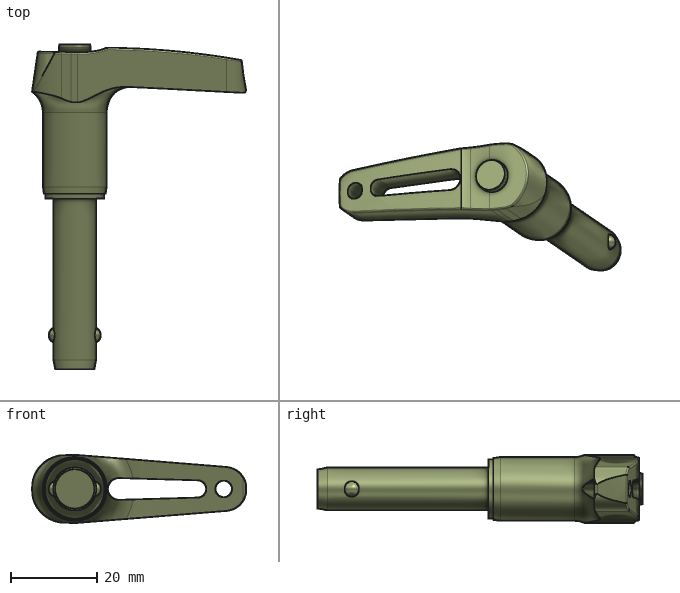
import cadquery as cq
import math


shank_radius = 5.0
overall_length = 75.4
shank_length = 39.65
tip_radius = 4.55
tip_length = 2.3
shoulder_radius = 6.9
shoulder_length = 1.15
barrel_radius = 7.43
barrel_end_radius = 7.2
barrel_taper_end = 2.75
flare_start = 19.97
flare_radius = 5.93
button_radius = 3.7
button_top = overall_length - shank_length
button_edge_height = 0.5
button_edge_inset = 0.15

ball_radius = 1.85
ball_reach = 6.05
ball_position = -31.7

boss_half_width = 7.91
boss_arc_center = -2.1
boss_arc_end = -3.14
boss_flat_start = -0.87
boss_flat_end = 0.53
grip_end_center = 34.7
grip_end_radius = 5.15
lever_end = 39.87

boss_tilt = 0.02
boss_dip = (1.0, 33.93)
dip_end = (5.5, 34.38)
hump_start = (7.5, 35.03)
grip_mid = (24.2, 34.13)
grip_arc_end = (42.0, 31.5)
grip_tip_top = (38.74, 32.12)
grip_tip_round = 0.7
underside_slope = 0.055
top_edge_round = 0.4

cone_center = 0.4
cone_top_radius = 9.01
cone_slope = 0.145

slot_start_center = 10.2
slot_start_radius = 2.5
slot_end_center = 28.5
slot_end_radius = 1.97
hole_center = 34.55
hole_radius = 1.9

flare_center = barrel_radius + flare_radius
flare_top = flare_start + flare_radius
cut_height = 2 * button_top


def revolve_about_pin(profile):
    """Turn a closed (radius, Y) profile fully about the pin axis."""
    return profile.close().revolve(360, (0, 0, 0), (0, 1, 0))


def along_pin(profile):
    """Extrude a closed XZ profile along +Y, past everything on the lever."""
    return profile.extrude(-cut_height)


def tangent_point(center, radius, angle):
    return (center + radius * math.cos(angle), radius * math.sin(angle))


def make_pin():
    """Shank with tapered tip, collar shoulder and barrel."""
    return revolve_about_pin(
        cq.Workplane("XY")
        .moveTo(0, -shank_length)
        .lineTo(tip_radius, -shank_length)
        .lineTo(shank_radius, tip_length - shank_length)
        .lineTo(shank_radius, 0)
        .lineTo(shoulder_radius, 0)
        .lineTo(shoulder_radius, shoulder_length)
        .lineTo(barrel_end_radius, shoulder_length)
        .lineTo(barrel_radius, barrel_taper_end)
        .lineTo(barrel_radius, flare_start)
        .lineTo(0, flare_start)
    )


def make_button():
    """Release button rising through the boss."""
    return (
        cq.Workplane("XZ", origin=(0, flare_top, 0))
        .circle(button_radius)
        .extrude(flare_top - button_top)
        .faces(">Y")
        .chamfer(button_edge_height, button_edge_inset)
    )


def make_balls():
    """Two locking balls standing out of the shank on opposite sides along X."""
    balls = cq.Workplane("XY")
    for side in (-1, 1):
        center = (side * (ball_reach - ball_radius), ball_position, 0)
        balls = balls.union(cq.Workplane("XY", origin=center).sphere(ball_radius))
    return balls


def make_outline():
    """Lever outline seen along the pin: round boss tapering to a round grip end."""
    arc_height = math.sqrt(boss_half_width**2 - (boss_arc_end - boss_arc_center) ** 2)
    run = grip_end_center - boss_flat_end
    flank_length = math.sqrt(run**2 + boss_half_width**2 - grip_end_radius**2)
    flank_angle = math.atan2(grip_end_radius, flank_length) + math.atan2(run, boss_half_width)
    end_x, end_z = tangent_point(grip_end_center, grip_end_radius, flank_angle)
    return along_pin(
        cq.Workplane("XZ")
        .moveTo(boss_arc_end, arc_height)
        .lineTo(boss_flat_start, boss_half_width)
        .lineTo(boss_flat_end, boss_half_width)
        .lineTo(end_x, end_z)
        .threePointArc((grip_end_center + grip_end_radius, 0), (end_x, -end_z))
        .lineTo(boss_flat_end, -boss_half_width)
        .lineTo(boss_flat_start, -boss_half_width)
        .lineTo(boss_arc_end, -arc_height)
        .threePointArc((boss_arc_center - boss_half_width, 0), (boss_arc_end, arc_height))
        .close()
    )


def make_side_profile():
    """Lever seen along Z: only its top is shaped, the rest reaches past the lever."""
    back = boss_arc_center - 2 * boss_half_width
    return (
        cq.Workplane("XY")
        .moveTo(back, boss_dip[1] + boss_tilt * (boss_dip[0] - back))
        .lineTo(*boss_dip)
        .tangentArcPoint(dip_end, relative=False)
        .tangentArcPoint(hump_start, relative=False)
        .threePointArc(grip_mid, grip_arc_end)
        .lineTo(grip_arc_end[0], 0)
        .lineTo(back, 0)
        .close()
        .extrude(2 * boss_half_width, both=True)
    )


def make_envelope():
    """Turned body whose flare, conical underside and slanted rim bound the lever."""
    tilt = math.atan(underside_slope)
    mid_angle = (math.pi / 2 - tilt) / 2
    flare_mid = (
        flare_center - flare_radius * math.cos(mid_angle),
        flare_start + flare_radius * math.sin(mid_angle),
    )
    flare_end = (
        flare_center + flare_radius * math.sin(tilt),
        flare_start + flare_radius * math.cos(tilt),
    )
    tip_bottom = flare_end[1] - underside_slope * (lever_end - flare_end[0])
    rim_slope = (lever_end - grip_tip_top[0]) / (grip_tip_top[1] - tip_bottom)
    envelope = revolve_about_pin(
        cq.Workplane("XY")
        .moveTo(0, flare_start)
        .lineTo(barrel_radius, flare_start)
        .threePointArc(flare_mid, flare_end)
        .lineTo(lever_end, tip_bottom)
        .lineTo(lever_end - rim_slope * (cut_height - tip_bottom), cut_height)
        .lineTo(0, cut_height)
    )
    return envelope.edges(cq.selectors.RadiusNthSelector(-1)).fillet(grip_tip_round)


def trim_boss_end(lever):
    """Keep the -X end of the boss inside a cone narrowing toward the top."""
    cone_height = cut_height - flare_start
    base_radius = cone_top_radius + cone_slope * (boss_dip[1] - flare_start)
    tip = base_radius - cone_slope * cone_height
    cone = revolve_about_pin(
        cq.Workplane("XY")
        .moveTo(0, flare_start)
        .lineTo(base_radius, flare_start)
        .lineTo(tip, cut_height)
        .lineTo(0, cut_height)
    ).translate((cone_center, 0, 0))
    grip_side = cq.Workplane("XY").box(
        2 * lever_end, cut_height, 4 * boss_half_width, centered=(False, False, True)
    )
    return lever.intersect(cone.union(grip_side))


def make_slot():
    """Tapered slot with round ends through the grip."""
    taper = math.acos((slot_start_radius - slot_end_radius) / (slot_end_center - slot_start_center))
    start_x, start_z = tangent_point(slot_start_center, slot_start_radius, taper)
    end_x, end_z = tangent_point(slot_end_center, slot_end_radius, taper)
    return along_pin(
        cq.Workplane("XZ")
        .moveTo(start_x, start_z)
        .lineTo(end_x, end_z)
        .threePointArc((slot_end_center + slot_end_radius, 0), (end_x, -end_z))
        .lineTo(start_x, -start_z)
        .threePointArc((slot_start_center - slot_start_radius, 0), (start_x, start_z))
        .close()
    )


def round_top_edges(lever):
    """Round the rim of the top face, leaving the creases that cross it sharp."""
    lowest = grip_tip_top[1] - top_edge_round / 2

    def on_rim(edge):
        box = edge.BoundingBox()
        crosses_top = box.xlen < box.zlen / 1000
        return box.ymin > lowest and not crosses_top

    return lever.edges().filter(on_rim).fillet(top_edge_round)


def make_lever():
    outline = make_outline()
    lever = trim_boss_end(outline.intersect(make_side_profile()).intersect(make_envelope()))
    lever = round_top_edges(lever)
    hole = along_pin(cq.Workplane("XZ").center(hole_center, 0).circle(hole_radius))
    return lever.cut(make_slot()).cut(hole)


result = make_pin().union(make_lever()).union(make_button()).union(make_balls())